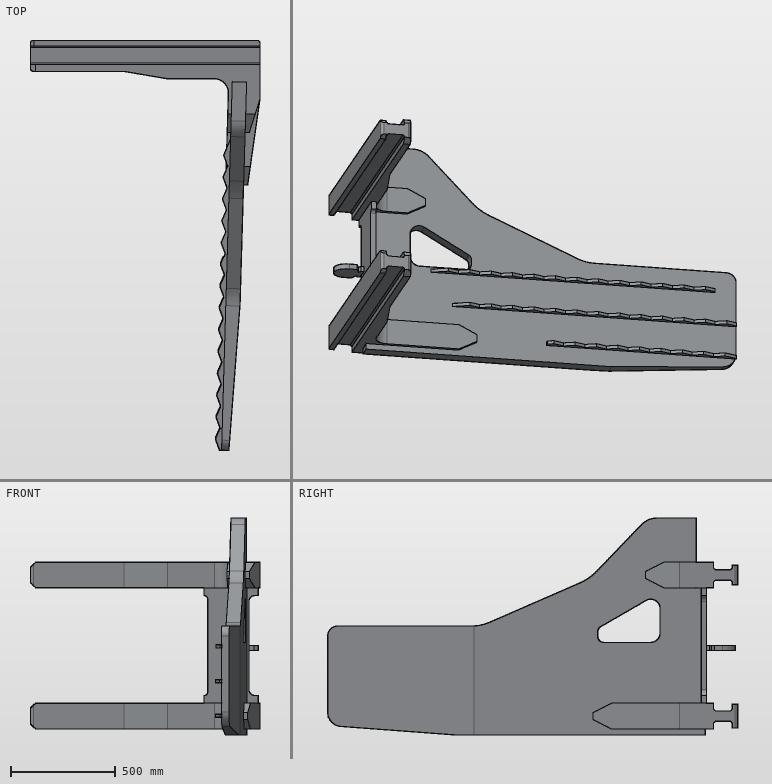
import cadquery as cq
import math


ARM_LENGTH = 1100.0
ARM_HEIGHT = 124.0
LOWER_ARM_Z = 90.0
ARM_PITCH = 676.0
UPPER_ARM_Z = LOWER_ARM_Z + ARM_PITCH
REAR_FLANGE_DEPTH = 28.0
LOWER_REAR_FLANGE_HEIGHT = 114.0
UPPER_REAR_FLANGE_HEIGHT = 95.0
REAR_FLANGE_ROUND = 14.0
REAR_FLANGE_BEVEL = 18.0
GROOVE_FRONT_Y = -115.0
BAR_WEB_HEIGHT = 51.0
GROOVE_CORNER_BEVEL = 8.0
BAR_FRONT_Y = -150.0
BAR_END_BEVEL = 25.0
BAR_END_ROUND = 15.0
BEND_START_X = 448.0
BEND_END_X = 656.0
SHOULDER_Y = -185.0
INNER_CORNER_ROUND = 67.0
LEG_SIDE_END_Y = -280.0
LOWER_LEG_TIP_Y = -694.0
UPPER_LEG_TIP_Y = -442.0
LEG_INNER_WALL = 18.0
LEG_TIP_WALL = 20.0
TIP_BEVEL_LENGTH = 88.0
TIP_BEVEL_HEIGHT = 45.0

BLADE_TOE_IN = 57.0
BLADE_PIVOT_X = 973.0
BLADE_THICKNESS = 69.0
BLADE_END_THICKNESS = 35.0
BLADE_LENGTH = 1965.0
BLADE_HEIGHT = 1040.0
TAPER_START_Y = -1262.0
BLADE_LOW_REAR_Y = -155.0
BLADE_TOP_REAR_Y = -198.0
BLADE_TOP_END_Y = -430.0
BLADE_NECK = (-710.0, 749.0)
BLADE_FRONT_TOP = 523.0
BLADE_FRONT_START_Y = -1228.0
BLADE_TOP_ROUND = 105.0
BLADE_NECK_ROUND = 255.0
BLADE_FRONT_START_ROUND = 206.0
BLADE_TIP_TOP_ROUND = 50.0
BLADE_TIP_BOTTOM_ROUND = 69.0
BOTTOM_RISE_START_Y = -1355.0
BOTTOM_RISE = 45.0

WINDOW_REAR_Y = -371.0
WINDOW_FRONT_Y = -670.0
WINDOW_BOTTOM = 445.0
WINDOW_FRONT_TOP = 510.0
WINDOW_SLOPE = 30
WINDOW_REAR_ROUND = 45.0
WINDOW_FRONT_ROUND = 28.0

TOOTH_PEAK = 31.0
TOOTH_VALLEY = TOOTH_PEAK / 3
STRIP_HEIGHT = 15.0
LONG_STRIP_LENGTH = 1387.0
LONG_STRIP_TEETH = 13
LEAD_RAMP_PITCHES = TOOTH_PEAK / (TOOTH_PEAK - TOOTH_VALLEY) / 2
TOOTH_PITCH = LONG_STRIP_LENGTH / (LONG_STRIP_TEETH - 0.5 + LEAD_RAMP_PITCHES)
SHORT_STRIP_TEETH = 9
SHORT_STRIP_LEAD = 30.0
SHORT_STRIP_TAIL = 60.0
UPPER_STRIP_Z = 425.0
MIDDLE_STRIP_Z = 257.0
LOWER_STRIP_Z = 92.0

TIE_THICKNESS = 25.0
TIE_LEFT_X = 831.0
TIE_RIGHT_X = 1093.0
TIE_WAIST_LEFT_X = 849.0
TIE_WAIST_RIGHT_X = 1047.0
TIE_FOOT_HEIGHT = 37.0
TIE_LEFT_ROUND = 15.0
TIE_RIGHT_ROUND = 28.0

LUG_CENTRE_X = 1032.0
LUG_Z = 417.0
LUG_HEIGHT = 25.0
LUG_HEAD_RADIUS = 60.0
LUG_REAR_Y = -12.0
LUG_SHOULDER_Y = -112.0
LUG_WAIST_Y = -125.0
LUG_FOOT_Y = -135.0
LUG_WAIST_HALF_WIDTH = 25.0
LUG_FOOT_HALF_WIDTH = 40.0

BLADE_TILT = math.degrees(math.asin(BLADE_TOE_IN / BLADE_LENGTH))
TILT_COS = math.cos(math.radians(BLADE_TILT))
TILT_TAN = math.tan(math.radians(BLADE_TILT))
BLADE_END_Y = -(BLADE_LENGTH / TILT_COS - BLADE_END_THICKNESS * TILT_TAN)


def blade_side_x(y, offset):
    """X of a line parallel to the blade's inner face, at a distance outward from that face."""
    return BLADE_PIVOT_X + y * TILT_TAN + offset / TILT_COS


def place_on_blade(body):
    """Turn a body from the blade's own frame into its place."""
    return body.rotate((0, 0, 0), (0, 0, 1), -BLADE_TILT).translate((BLADE_PIVOT_X, 0, 0))


def box(x_range, y_range, z_range):
    size = [end - start for start, end in (x_range, y_range, z_range)]
    corner = (x_range[0], y_range[0], z_range[0])
    return cq.Workplane("XY").box(*size, centered=False).translate(corner)


def round_at(body, point, radius):
    """Round the edge along X that runs through the given Y, Z point of a YZ outline."""
    edge = cq.selectors.NearestToPointSelector((BLADE_THICKNESS / 2, *point))
    return body.edges("|X").edges(edge).fillet(radius)


def make_blade():
    planform = [
        (0, 0),
        (BLADE_THICKNESS, 0),
        (BLADE_THICKNESS, TAPER_START_Y),
        (BLADE_END_THICKNESS, BLADE_END_Y),
        (0, BLADE_END_Y),
    ]
    slab = cq.Workplane("XY").polyline(planform).close().extrude(BLADE_HEIGHT)

    lower_arm_top = LOWER_ARM_Z + ARM_HEIGHT / 2
    upper_arm_bottom = UPPER_ARM_Z - ARM_HEIGHT / 2
    tie_front_y = BAR_FRONT_Y - TIE_THICKNESS
    blade_mid_rear_y = tie_front_y / TILT_COS
    top_corner = (BLADE_TOP_END_Y, BLADE_HEIGHT)
    front_corner = (BLADE_FRONT_START_Y, BLADE_FRONT_TOP)
    tip_top = (BLADE_END_Y, BLADE_FRONT_TOP)
    tip_bottom = (BLADE_END_Y, BOTTOM_RISE)
    outline = [
        (BLADE_LOW_REAR_Y, 0),
        (BLADE_LOW_REAR_Y, lower_arm_top),
        (blade_mid_rear_y, lower_arm_top),
        (blade_mid_rear_y, upper_arm_bottom),
        (BLADE_TOP_REAR_Y, upper_arm_bottom),
        (BLADE_TOP_REAR_Y, BLADE_HEIGHT),
        top_corner,
        BLADE_NECK,
        front_corner,
        tip_top,
        tip_bottom,
        (BOTTOM_RISE_START_Y, 0),
    ]
    side = cq.Workplane("YZ").polyline(outline).close().extrude(BLADE_THICKNESS)
    side = round_at(side, top_corner, BLADE_TOP_ROUND)
    side = round_at(side, BLADE_NECK, BLADE_NECK_ROUND)
    side = round_at(side, front_corner, BLADE_FRONT_START_ROUND)
    side = round_at(side, tip_top, BLADE_TIP_TOP_ROUND)
    side = round_at(side, tip_bottom, BLADE_TIP_BOTTOM_ROUND)
    return place_on_blade(slab.intersect(side).cut(make_window()))


def make_window():
    window_length = WINDOW_REAR_Y - WINDOW_FRONT_Y
    rear_top = WINDOW_FRONT_TOP + window_length * math.tan(math.radians(WINDOW_SLOPE))
    corner_rounds = [
        ((WINDOW_REAR_Y, WINDOW_BOTTOM), WINDOW_REAR_ROUND),
        ((WINDOW_REAR_Y, rear_top), WINDOW_REAR_ROUND),
        ((WINDOW_FRONT_Y, WINDOW_FRONT_TOP), WINDOW_FRONT_ROUND),
        ((WINDOW_FRONT_Y, WINDOW_BOTTOM), WINDOW_FRONT_ROUND),
    ]
    outline = [corner for corner, _ in corner_rounds]
    window = cq.Workplane("YZ").polyline(outline).close().extrude(BLADE_THICKNESS)
    for corner, radius in corner_rounds:
        window = round_at(window, corner, radius)
    return window


def make_strip(start_y, first_peak_y, teeth, start_height, end_y, end_height, mid_z):
    """Toothed strip: peaks one pitch apart, valleys half-way between them."""
    outline = [(0, start_y)]
    if start_height > 0:
        outline.append((-start_height, start_y))
    for tooth in range(teeth):
        peak_y = first_peak_y - tooth * TOOTH_PITCH
        outline.append((-TOOTH_PEAK, peak_y))
        if tooth < teeth - 1:
            outline.append((-TOOTH_VALLEY, peak_y - TOOTH_PITCH / 2))
    outline += [(-end_height, end_y), (0, end_y)]
    strip = cq.Workplane("XY").workplane(offset=mid_z - STRIP_HEIGHT / 2)
    return place_on_blade(strip.polyline(outline).close().extrude(STRIP_HEIGHT))


def make_long_strip(end_y, mid_z):
    """Strip that rises from the blade face and ends in a valley."""
    start_y = end_y + LONG_STRIP_LENGTH
    first_peak_y = start_y - LEAD_RAMP_PITCHES * TOOTH_PITCH
    return make_strip(start_y, first_peak_y, LONG_STRIP_TEETH, 0, end_y, TOOTH_VALLEY, mid_z)


def make_short_strip(end_y, mid_z):
    """Strip that starts and ends part-way along a tooth flank."""
    flank_slope = (TOOTH_PEAK - TOOTH_VALLEY) / (TOOTH_PITCH / 2)
    first_peak_y = end_y + SHORT_STRIP_TAIL + (SHORT_STRIP_TEETH - 1) * TOOTH_PITCH
    start_height = TOOTH_PEAK - SHORT_STRIP_LEAD * flank_slope
    end_height = TOOTH_PEAK - SHORT_STRIP_TAIL * flank_slope
    start_y = first_peak_y + SHORT_STRIP_LEAD
    return make_strip(
        start_y, first_peak_y, SHORT_STRIP_TEETH, start_height, end_y, end_height, mid_z
    )


def make_arm_blank(tip_y):
    """Arm outline seen from above, at full height, with its middle on Z = 0."""
    inner_corner = (blade_side_x(SHOULDER_Y, -LEG_INNER_WALL), SHOULDER_Y)
    outline = [
        (0, 0),
        (ARM_LENGTH, 0),
        (ARM_LENGTH, LEG_SIDE_END_Y),
        (blade_side_x(tip_y, BLADE_THICKNESS + LEG_TIP_WALL), tip_y),
        (blade_side_x(tip_y, -LEG_INNER_WALL), tip_y),
        inner_corner,
        (BEND_END_X, SHOULDER_Y),
        (BEND_START_X, BAR_FRONT_Y),
        (0, BAR_FRONT_Y),
    ]
    blank = cq.Workplane("XY").polyline(outline).close().extrude(ARM_HEIGHT / 2, both=True)
    bar_end = cq.selectors.NearestToPointSelector((0, BAR_FRONT_Y, 0))
    corner = cq.selectors.NearestToPointSelector((*inner_corner, 0))
    blank = blank.edges("|Z").edges(corner).fillet(INNER_CORNER_ROUND)
    blank = blank.edges("|Z").edges(bar_end).fillet(BAR_END_ROUND)
    rear_corners = cq.selectors.BoxSelector((-20, -2.0, -20), (ARM_LENGTH + 20, 2.0, 20))
    return blank.edges("|Z").edges(rear_corners).fillet(REAR_FLANGE_ROUND)


def make_groove():
    """Cutter for the groove on top of the bar, with bevelled floor corners."""
    floor = BAR_WEB_HEIGHT / 2
    rim = ARM_HEIGHT / 2
    outline = [
        (-REAR_FLANGE_DEPTH, rim),
        (-REAR_FLANGE_DEPTH, floor + GROOVE_CORNER_BEVEL),
        (-REAR_FLANGE_DEPTH - GROOVE_CORNER_BEVEL, floor),
        (GROOVE_FRONT_Y + GROOVE_CORNER_BEVEL, floor),
        (GROOVE_FRONT_Y, floor + GROOVE_CORNER_BEVEL),
        (GROOVE_FRONT_Y, rim),
    ]
    return cq.Workplane("YZ").polyline(outline).close().extrude(ARM_LENGTH)


def make_end_bevel(rim, size, y_range):
    """Cutter that bevels the top edge of a flange at the free end of the bar."""
    y_start, y_end = y_range
    outline = [(0, rim), (size, rim), (0, rim - size)]
    cutter = cq.Workplane("XZ", origin=(0, y_end, 0)).polyline(outline).close()
    return cutter.extrude(y_end - y_start)


def make_tip_bevel(tip_y):
    """Cutter that bevels the top edge of the leg towards its tip."""
    rim = ARM_HEIGHT / 2
    outline = [
        (tip_y, rim),
        (tip_y + TIP_BEVEL_LENGTH, rim),
        (tip_y, rim - TIP_BEVEL_HEIGHT),
    ]
    return cq.Workplane("YZ").polyline(outline).close().extrude(ARM_LENGTH)


def make_arm(mid_z, tip_y, rear_flange_height, blade):
    flange_rim = rear_flange_height / 2
    rear_flange_y = (-REAR_FLANGE_DEPTH, 0)
    top_cutters = [
        make_groove(),
        box((0, ARM_LENGTH), rear_flange_y, (flange_rim, ARM_HEIGHT / 2)),
        make_end_bevel(flange_rim, REAR_FLANGE_BEVEL, rear_flange_y),
        make_end_bevel(ARM_HEIGHT / 2, BAR_END_BEVEL, (BAR_FRONT_Y, GROOVE_FRONT_Y)),
        make_tip_bevel(tip_y),
    ]
    arm = make_arm_blank(tip_y)
    for cutter in top_cutters:
        arm = arm.cut(cutter).cut(cutter.mirror("XY"))
    return arm.translate((0, 0, mid_z)).cut(blade)


def make_tie_plate():
    bottom = LOWER_ARM_Z + ARM_HEIGHT / 2
    top = UPPER_ARM_Z - ARM_HEIGHT / 2
    rear_y = BAR_FRONT_Y
    front_y = rear_y - TIE_THICKNESS
    waist_z = (bottom + TIE_FOOT_HEIGHT, top - TIE_FOOT_HEIGHT)
    plate = box((TIE_LEFT_X, TIE_RIGHT_X), (front_y, rear_y), (bottom, top))
    left_notch = box((TIE_LEFT_X, TIE_WAIST_LEFT_X), (front_y, rear_y), waist_z)
    right_notch = box((TIE_WAIST_RIGHT_X, TIE_RIGHT_X), (front_y, rear_y), waist_z)
    plate = plate.cut(left_notch.edges("|Y and >X").fillet(TIE_LEFT_ROUND))
    return plate.cut(right_notch.edges("|Y and <X").fillet(TIE_RIGHT_ROUND))


def make_lug():
    """Round-headed lug with a narrow waist, standing on the rear face of the tie plate."""
    head_y = LUG_REAR_Y - LUG_HEAD_RADIUS
    return (
        cq.Workplane("XY", origin=(LUG_CENTRE_X, 0, LUG_Z - LUG_HEIGHT / 2))
        .moveTo(-LUG_HEAD_RADIUS, head_y)
        .threePointArc((0, LUG_REAR_Y), (LUG_HEAD_RADIUS, head_y))
        .lineTo(LUG_HEAD_RADIUS, LUG_SHOULDER_Y)
        .lineTo(LUG_WAIST_HALF_WIDTH, LUG_WAIST_Y)
        .lineTo(LUG_FOOT_HALF_WIDTH, LUG_FOOT_Y)
        .lineTo(LUG_FOOT_HALF_WIDTH, BAR_FRONT_Y)
        .lineTo(-LUG_FOOT_HALF_WIDTH, BAR_FRONT_Y)
        .lineTo(-LUG_FOOT_HALF_WIDTH, LUG_FOOT_Y)
        .lineTo(-LUG_WAIST_HALF_WIDTH, LUG_WAIST_Y)
        .lineTo(-LUG_HEAD_RADIUS, LUG_SHOULDER_Y)
        .close()
        .extrude(LUG_HEIGHT)
    )


blade = make_blade()
tie_plate = make_tie_plate()
lug = make_lug()
arm_settings = [
    (LOWER_ARM_Z, LOWER_LEG_TIP_Y, LOWER_REAR_FLANGE_HEIGHT),
    (UPPER_ARM_Z, UPPER_LEG_TIP_Y, UPPER_REAR_FLANGE_HEIGHT),
]
arms = [make_arm(*setting, blade) for setting in arm_settings]

long_strip_settings = [
    (BLADE_END_Y + TOOTH_PITCH, UPPER_STRIP_Z),
    (BLADE_END_Y, MIDDLE_STRIP_Z),
]
strips = [make_long_strip(*setting) for setting in long_strip_settings]
strips.append(make_short_strip(BLADE_END_Y, LOWER_STRIP_Z))

result = cq.Compound.makeCompound(
    [blade.val(), tie_plate.val(), lug.val()]
    + [arm.val() for arm in arms]
    + [strip.val() for strip in strips]
)